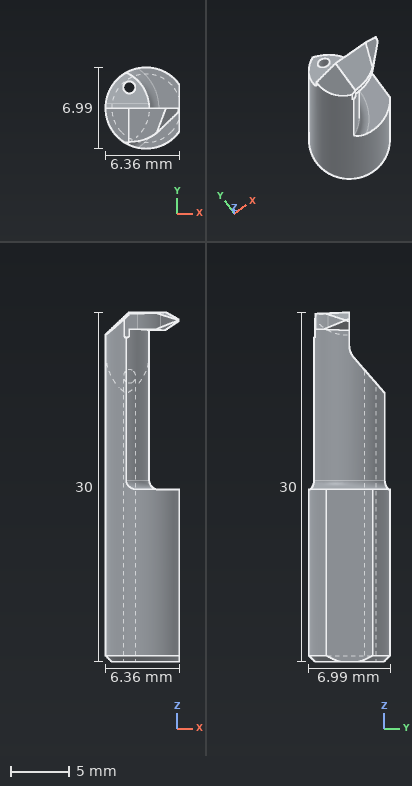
import cadquery as cq
import math

total_height = 30.0
shank_radius = 3.495
shank_height = 14.8
flat_x = 2.865
base_chamfer = 0.55

neck_radius = 3.33
neck_right_x = 0.27
neck_center_x = neck_right_x - neck_radius
neck_fillet = 0.8

back_slope = math.radians(49)
back_radius = 1.6
back_start_z = 27.15

hole_diameter = 1.02
hole_x = -1.45
hole_y = 1.77

head_bottom_z = 28.45
head_left_x = -1.85
head_left_y = -math.sqrt(shank_radius**2 - head_left_x**2)
flank_start = (-0.78, -2.85)
flank_middle = (0.3, -2.52)
flank_end = (1.2, -1.85)
tip_side = (2.73, -0.4)
tip_x = 2.8
corner_relief_z = 27.78
corner_relief_radius = 0.18

face_relief = 0.04
slope_relief = 0.07
bevel_relief = 0.25
under_bevel_relief = 0.28
slope_start_x = -1.47
slope_drop = 1.92
tip_top_x = 1.7
tip_top_z = 29.4
tip_bottom_x = 1.62
tip_bottom_z = 29.22

overshoot = 6.0


def extrapolate(start, end, factor):
    """Point on the line from start through end, at a multiple of their distance."""
    return tuple(a + factor * (b - a) for a, b in zip(start, end))


def relief_cutter(points, relief):
    """XZ outline swept from Y = 0 toward -Y while shifting in Z by the relief."""
    shifted = [(x, z + relief * overshoot) for x, z in points]
    return (
        cq.Workplane("XZ").polyline(points).close()
        .workplane(offset=overshoot).polyline(shifted).close()
        .loft(ruled=True)
    )


def make_shank():
    return (
        cq.Workplane("XY").circle(shank_radius).extrude(shank_height)
        .faces("<Z").chamfer(base_chamfer)
    )


def make_neck():
    """Neck with a concave flare where it meets the shank shoulder."""
    flare_top = shank_height + neck_fillet
    flare_radius = neck_radius + neck_fillet
    arc_inset = neck_fillet * (1 - math.sqrt(0.5))
    profile = (
        cq.Workplane("XZ", origin=(neck_center_x, 0, 0))
        .moveTo(0, shank_height)
        .lineTo(flare_radius, shank_height)
        .threePointArc((neck_radius + arc_inset, shank_height + arc_inset), (neck_radius, flare_top))
        .lineTo(neck_radius, total_height)
        .lineTo(0, total_height)
        .close()
        .revolve(360, (0, 0, 0), (0, 1, 0))
    )
    envelope = (
        cq.Workplane("XY").workplane(offset=shank_height)
        .circle(shank_radius).extrude(total_height - shank_height)
    )
    return profile.intersect(envelope)


def make_back_relief():
    """Space behind the cutting face, above a concave arc and a falling slope."""
    turn = math.pi / 2 - back_slope
    arc_middle = (back_radius * (1 - math.cos(turn / 2)), back_start_z - back_radius * math.sin(turn / 2))
    arc_end = (back_radius * (1 - math.cos(turn)), back_start_z - back_radius * math.sin(turn))
    slope_end_z = arc_end[1] - (overshoot - arc_end[0]) * math.tan(back_slope)
    return (
        cq.Workplane("YZ")
        .moveTo(0, total_height + overshoot)
        .lineTo(0, back_start_z)
        .threePointArc(arc_middle, arc_end)
        .lineTo(overshoot, slope_end_z)
        .lineTo(overshoot, total_height + overshoot)
        .close()
        .extrude(overshoot, both=True)
    )


def make_head():
    """Hooked head ahead of the cutting face."""
    return (
        cq.Workplane("XY").workplane(offset=head_bottom_z)
        .moveTo(head_left_x, 0)
        .lineTo(head_left_x, head_left_y)
        .lineTo(*flank_start)
        .threePointArc(flank_middle, flank_end)
        .lineTo(*tip_side)
        .lineTo(tip_x, 0)
        .close()
        .extrude(total_height - head_bottom_z)
    )


def make_corner_relief():
    """Space outside the straight head flank, reaching a little below the head."""
    return (
        cq.Workplane("XY").workplane(offset=corner_relief_z)
        .moveTo(head_left_x, head_left_y)
        .lineTo(*flank_start)
        .lineTo(flank_start[0], -overshoot)
        .lineTo(head_left_x, -overshoot)
        .close()
        .extrude(total_height - corner_relief_z)
        .faces("<Z").edges(">Y").fillet(corner_relief_radius)
    )


def make_top_reliefs():
    """Spaces above the head: sloped left side, top face and upper tip bevel."""
    above = total_height + overshoot
    slope_top = (slope_start_x, total_height)
    slope_bottom = extrapolate(slope_top, (-shank_radius, total_height - slope_drop), 2)
    slope = [slope_top, slope_bottom, (slope_bottom[0], above), (slope_start_x, above)]
    top = [(-overshoot, total_height), (overshoot, total_height), (overshoot, above), (-overshoot, above)]
    bevel_edge = (tip_top_x, total_height)
    bevel_tip = (tip_x, tip_top_z)
    bevel_low = extrapolate(bevel_edge, bevel_tip, 2)
    bevel_high = extrapolate(bevel_edge, bevel_tip, -2)
    bevel = [bevel_low, bevel_high, (bevel_high[0], above), (bevel_low[0], above)]
    return [
        relief_cutter(slope, -slope_relief),
        relief_cutter(top, -face_relief),
        relief_cutter(bevel, -bevel_relief),
    ]


def make_under_bevel():
    """Space below the lower tip bevel."""
    edge = (tip_bottom_x, head_bottom_z)
    tip = (tip_x, tip_bottom_z)
    low = extrapolate(edge, tip, -1)
    high = extrapolate(edge, tip, 2)
    return relief_cutter([low, high, (high[0], low[1])], under_bevel_relief)


def make_under_face():
    """Space below the relieved underside of the head."""
    below = head_bottom_z - overshoot
    outline = [
        (-overshoot, head_bottom_z),
        (overshoot, head_bottom_z),
        (overshoot, below),
        (-overshoot, below),
    ]
    return relief_cutter(outline, face_relief)


head = make_head().cut(make_under_bevel()).cut(make_under_face())
neck = make_neck().cut(make_back_relief()).cut(make_corner_relief())
result = make_shank().union(neck).union(head)
for cutter in make_top_reliefs():
    result = result.cut(cutter)

flat_cutter = cq.Workplane("XY").box(overshoot, 2 * overshoot, total_height, centered=(False, True, False))
result = result.cut(flat_cutter.translate((flat_x, 0, 0)))

hole = cq.Workplane("XY").center(hole_x, hole_y).circle(hole_diameter / 2).extrude(total_height)
result = result.cut(hole)